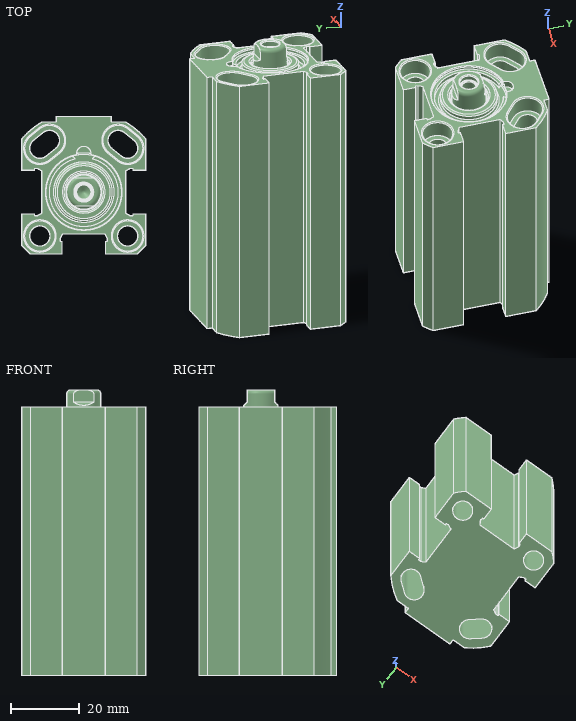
import cadquery as cq
import math


width = 36.0
depth = 40.0
height = 78.0
half_width = width / 2
front_y = -half_width
back_y = front_y + depth
shoulder_y = 20.4
tab_half_width = 8.05
corner_radius = 23.7

slot_depth = 5.8
slot_half_width = 6.3
slot_floor_half_width = 6.15
lip_thickness = 3.7
undercut = 0.5
undercut_flat = 0.8

hole_pitch = 25.5
hole_diameter = 5.8
counterbore_diameter = 8.8
counterbore_depth = 5.8
counterbore_chamfer = 0.3
slot_hole_length = 3.6
slot_hole_angle = 39.0

bore_diameter = 21.9
bore_chamfer_width = 0.2
bore_chamfer_height = 0.4
bore_depth = 12.45
bore_floor_z = height - bore_depth
ring_top_drop = 1.25
ring_thickness = 1.5
ring_top_z = height - ring_top_drop
ring_base_z = ring_top_z - ring_thickness
ring_outer_diameter = 22.8
ring_inner_diameter = 20.0
ring_gap = 5.0
notch_diameter = 4.15
notch_y = 11.2
notch_depth = 2.4

boss_top_z = height - 0.5
boss_diameter = 16.5
boss_chamfer_width = 0.6
boss_chamfer_height = 0.29
boss_foot_diameter = 17.6
boss_foot_height = 0.6
collar_bore_diameter = 11.4
collar_bore_chamfer = 0.46

rod_diameter = 10.0
rod_top_z = 83.0
rod_fillet = 1.25
across_flats = 8.05
flat_base_z = height + 1.4
rod_hole_mouth = 5.8
rod_hole_diameter = 5.2
rod_hole_depth = 1.9
tap_diameter = 4.15
tap_mouth_diameter = 4.65
tap_depth = 7.5
drill_point_angle = 118.0

seal_top_z = boss_top_z - 1.25
seal_mouth_diameter = 10.45
seal_mouth_depth = 1.25


def cylinder(diameter, z_bottom, z_top):
    """Upright cylinder on the rod axis."""
    return cq.Workplane("XY").workplane(offset=z_bottom).circle(diameter / 2).extrude(z_top - z_bottom)


def revolve_profile(points):
    """Turn (radius, z) points about the rod axis."""
    return cq.Workplane("XZ").polyline(points).close().revolve(360, (0, 0, 0), (0, 1, 0))


def sensor_slot(angle):
    """Full-height slot opening to the front, turned about the rod axis by the angle."""
    floor_y = front_y + slot_depth
    lip_y = front_y + lip_thickness
    wide = slot_half_width + undercut
    half = [
        (slot_half_width, front_y),
        (slot_half_width, lip_y),
        (wide, lip_y),
        (wide, lip_y + undercut_flat),
        (slot_floor_half_width, floor_y),
    ]
    mirrored = [(-x, y) for x, y in reversed(half)]
    slot = cq.Workplane("XY").polyline(half + mirrored).close().extrude(height)
    return slot.rotate((0, 0, 0), (0, 0, 1), angle)


def mounting_hole(x, y, angle=0, length=0):
    """Counterbored through hole, round or stretched along the angle by the length."""

    def prism(diameter, z_bottom, z_top, taper=0):
        plane = cq.Workplane("XY").workplane(offset=z_top)
        if length:
            sketch = plane.slot2D(length + diameter, diameter)
        else:
            sketch = plane.circle(diameter / 2)
        return sketch.extrude(z_bottom - z_top, taper=taper)

    tool = prism(hole_diameter, 0, height)
    tool = tool.union(prism(counterbore_diameter, height - counterbore_depth, height))
    mouth_diameter = counterbore_diameter + 2 * counterbore_chamfer
    tool = tool.union(prism(mouth_diameter, height - counterbore_chamfer, height, taper=45))
    return tool.rotate((0, 0, 0), (0, 0, 1), angle).translate((x, y, 0))


def make_housing():
    side_height = shoulder_y - front_y
    body = cq.Workplane("XY").rect(width, side_height).extrude(height)
    body = body.translate((0, front_y + side_height / 2, 0))
    body = body.intersect(cylinder(2 * corner_radius, 0, height))
    tab = cq.Workplane("XY").rect(2 * tab_half_width, back_y).extrude(height)
    body = body.union(tab.translate((0, back_y / 2, 0)))

    for angle in (-90, 0, 90):
        body = body.cut(sensor_slot(angle))

    offset = hole_pitch / 2
    half_length = slot_hole_length / 2
    slope = math.radians(slot_hole_angle)
    oblong_x = offset - half_length * math.cos(slope)
    oblong_y = offset + half_length * math.sin(slope)
    for side in (-1, 1):
        body = body.cut(mounting_hole(side * offset, -offset))
        body = body.cut(mounting_hole(side * oblong_x, oblong_y, -side * slot_hole_angle, slot_hole_length))

    bore_radius = bore_diameter / 2
    bore = revolve_profile([
        (0, bore_floor_z),
        (bore_radius, bore_floor_z),
        (bore_radius, height - bore_chamfer_height),
        (bore_radius + bore_chamfer_width, height),
        (0, height),
    ])
    ring_groove = cylinder(ring_outer_diameter, ring_base_z, ring_top_z)
    notch = cylinder(notch_diameter, height - notch_depth, height).translate((0, notch_y, 0))
    return body.cut(bore).cut(ring_groove).cut(notch)


def make_collar():
    """Flange that fills the bore, with a chamfered boss rising through the ring."""
    boss_radius = boss_diameter / 2
    bore_radius = collar_bore_diameter / 2
    return revolve_profile([
        (bore_radius, bore_floor_z),
        (bore_diameter / 2, bore_floor_z),
        (bore_diameter / 2, ring_base_z),
        (boss_foot_diameter / 2, ring_base_z),
        (boss_radius, ring_base_z + boss_foot_height),
        (boss_radius, boss_top_z - boss_chamfer_height),
        (boss_radius - boss_chamfer_width, boss_top_z),
        (bore_radius + collar_bore_chamfer, boss_top_z),
        (bore_radius, boss_top_z - collar_bore_chamfer),
    ])


def make_retaining_ring():
    ring = cylinder(ring_outer_diameter, ring_base_z, ring_top_z)
    ring = ring.cut(cylinder(ring_inner_diameter, ring_base_z, ring_top_z))
    inner_half = ring_gap / 2
    inner_y = math.sqrt((ring_inner_diameter / 2) ** 2 - inner_half**2)
    outer_y = ring_outer_diameter / 2
    outer_half = inner_half + outer_y - inner_y
    gap = cq.Workplane("XY").workplane(offset=ring_base_z).polyline([
        (-inner_half, 0),
        (inner_half, 0),
        (inner_half, inner_y),
        (outer_half, outer_y),
        (-outer_half, outer_y),
        (-inner_half, inner_y),
    ])
    return ring.cut(gap.close().extrude(ring_thickness))


def make_seal():
    outer_radius = collar_bore_diameter / 2
    rod_radius = rod_diameter / 2
    mouth_radius = seal_mouth_diameter / 2
    return revolve_profile([
        (rod_radius, bore_floor_z),
        (outer_radius, bore_floor_z),
        (outer_radius, seal_top_z),
        (mouth_radius, seal_top_z),
        (mouth_radius, seal_top_z - seal_mouth_depth),
        (rod_radius, seal_top_z - seal_mouth_depth),
    ])


def make_rod():
    rod = cylinder(rod_diameter, bore_floor_z, rod_top_z).faces(">Z").edges().fillet(rod_fillet)

    flat_y = across_flats / 2
    reach = rod_diameter / 2
    for side in (-1, 1):
        flat = cq.Workplane("YZ").polyline([
            (side * flat_y, rod_top_z),
            (side * flat_y, flat_base_z),
            (side * reach, flat_base_z - (reach - flat_y)),
            (side * reach, rod_top_z),
        ])
        rod = rod.cut(flat.close().extrude(reach, both=True))

    mouth_radius = rod_hole_mouth / 2
    hole_radius = rod_hole_diameter / 2
    tap_radius = tap_diameter / 2
    tap_mouth_radius = tap_mouth_diameter / 2
    tap_floor_z = rod_top_z - tap_depth
    step_z = rod_top_z - rod_hole_depth
    point_height = tap_radius / math.tan(math.radians(drill_point_angle / 2))
    hole = revolve_profile([
        (0, rod_top_z),
        (mouth_radius, rod_top_z),
        (hole_radius, rod_top_z - (mouth_radius - hole_radius)),
        (hole_radius, step_z),
        (tap_mouth_radius, step_z),
        (tap_radius, step_z - (tap_mouth_radius - tap_radius)),
        (tap_radius, tap_floor_z),
        (0, tap_floor_z - point_height),
    ])
    return rod.cut(hole)


housing = make_housing()
collar = make_collar()
retaining_ring = make_retaining_ring()
seal = make_seal()
rod = make_rod()

result = cq.Compound.makeCompound([
    housing.val(),
    collar.val(),
    retaining_ring.val(),
    seal.val(),
    rod.val(),
])